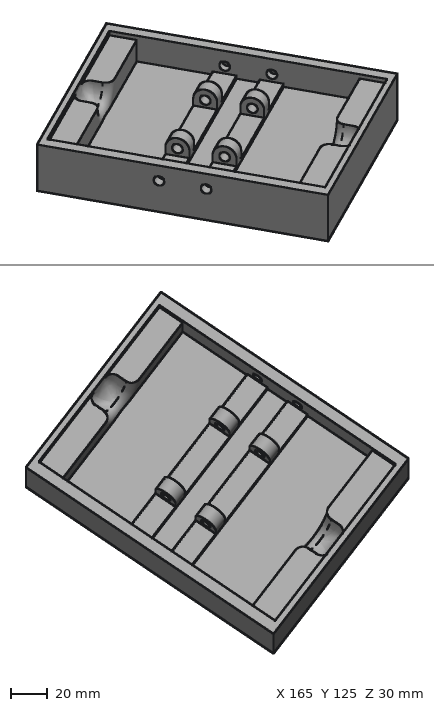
import cadquery as cq
import math

length = 165.0
width = 125.0
height = 30.0
end_wall = 3.8
side_wall = 6.8
floor_top = 13.4
cavity_length = length - 2 * end_wall
cavity_width = width - 2 * side_wall

ledge_depth = 15.5
ledge_top = 27.2

rail_width = 13.5
rail_offset = 13.4
rail_thickness = 2.0
barrel_length = 8.5
barrel_spacing = 50.0
pin_diameter = 6.0
pin_height = 20.1
pin_end_depth = 5.0

scoop_radius = 10.4
scoop_corner_radius = 5.0
flare_radius = ledge_depth - scoop_radius
bowl_steps = 9


def block(size_x, size_y, bottom, top, center_x=0, center_y=0):
    """Box centred on (center_x, center_y) between two heights."""
    return (
        cq.Workplane("XY", origin=(center_x, center_y, bottom))
        .box(size_x, size_y, top - bottom, centered=(True, True, False))
    )


def cylinder_along_y(radius, start_y, end_y, x, z):
    """Cylinder parallel to Y between two Y positions."""
    return (
        cq.Workplane("XZ", origin=(x, start_y, z))
        .circle(radius)
        .extrude(start_y - end_y)
    )


def make_scoop():
    """Cutter for the +X ledge: round-bottomed bowl with a flared mouth."""
    bowl_x = cavity_length / 2 - scoop_radius
    face_x = bowl_x - flare_radius

    sections = []
    for step in range(1, bowl_steps + 1):
        angle = math.radians(90 * step / bowl_steps)
        growth = math.sin(angle)
        side = 2 * scoop_radius * growth
        depth = scoop_radius * math.cos(angle)
        section = (
            cq.Sketch()
            .rect(side, side)
            .vertices()
            .fillet(scoop_corner_radius * growth)
            .moved(cq.Location(cq.Vector(bowl_x, 0, ledge_top - depth)))
        )
        sections.append(section)
    bowl = cq.Workplane("XY").placeSketch(*sections).loft()
    back_half = block(scoop_radius, width, floor_top, ledge_top, bowl_x + scoop_radius / 2)
    bowl = bowl.intersect(back_half)

    arc_step = flare_radius * math.sqrt(0.5)
    mouth = (
        cq.Workplane("XZ")
        .moveTo(bowl_x, 0)
        .lineTo(bowl_x, scoop_radius)
        .threePointArc(
            (bowl_x - arc_step, scoop_radius + flare_radius - arc_step),
            (face_x, scoop_radius + flare_radius),
        )
        .lineTo(face_x, 0)
        .close()
        .revolve(360, (0, 0, 0), (1, 0, 0))
        .translate((0, 0, ledge_top))
        .intersect(block(length, width, floor_top, ledge_top))
    )
    return bowl.union(mouth)


def make_ledge():
    """Scooped ledge at the +X end."""
    center_x = (cavity_length - ledge_depth) / 2
    ledge = block(ledge_depth, cavity_width, floor_top, ledge_top, center_x)
    return ledge.cut(make_scoop())


def make_rail(x):
    """Full-width rail carrying two round-topped hinge barrels."""
    rail = block(rail_width, cavity_width, floor_top, floor_top + rail_thickness, x)
    for y in (-barrel_spacing / 2, barrel_spacing / 2):
        rail = rail.union(block(rail_width, barrel_length, floor_top, pin_height, x, y))
        start_y = y - barrel_length / 2
        end_y = y + barrel_length / 2
        rail = rail.union(cylinder_along_y(rail_width / 2, start_y, end_y, x, pin_height))
    return rail


result = block(length, width, 0, height).cut(
    block(cavity_length, cavity_width, floor_top, height)
)

ledge = make_ledge()
result = result.union(ledge).union(ledge.mirror("YZ"))

pin_end_y = cavity_width / 2 + pin_end_depth
for x in (-rail_offset, rail_offset):
    result = result.union(make_rail(x))
    result = result.cut(cylinder_along_y(pin_diameter / 2, -width / 2, pin_end_y, x, pin_height))